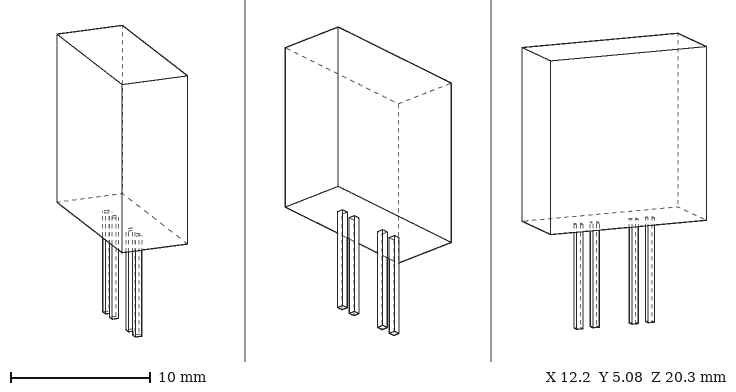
import cadquery as cq

total_height = 20.32
body_width = 12.2
body_depth = 5.08

pin_length = 7.62
pin_side = 0.5
inner_pin_spacing = 3.05
outer_pin_spacing = 5.59

body_height = total_height - pin_length


def make_body():
    """Rectangular block with its underside on Z = 0."""
    return cq.Workplane("XY").box(body_width, body_depth, body_height, centered=(True, True, False))


def make_pins():
    """Four square pins in one row, hanging from the underside of the body."""
    centers = []
    for spacing in (inner_pin_spacing, outer_pin_spacing):
        centers += [(-spacing / 2, 0), (spacing / 2, 0)]
    return cq.Workplane("XY").pushPoints(centers).rect(pin_side, pin_side).extrude(-pin_length)


result = make_body().union(make_pins())